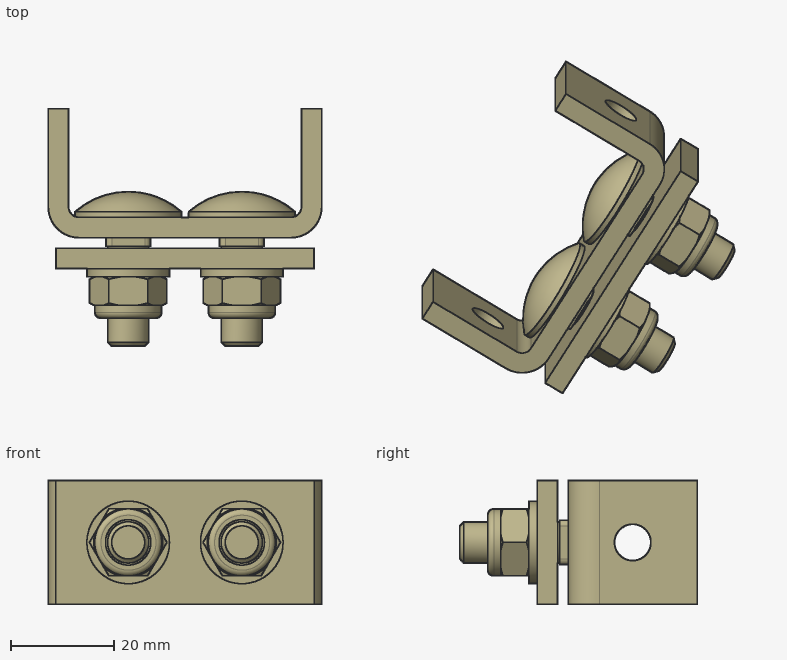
import cadquery as cq
import math

bracket_width = 53.0
bracket_depth = 25.0
height = 24.0
sheet = 4.0
inner_bend = 2.0
outer_bend = inner_bend + sheet
leg_hole_diameter = 7.0
leg_hole_y = bracket_depth / 2

plate_width = 50.0
plate_gap = 2.0
plate_face_y = -(plate_gap + sheet)

bolt_spacing = 22.0
bolt_diameter = 8.0
bolt_end_y = -21.0
bolt_chamfer = 0.8
head_diameter = 20.65
head_rim = 1.05
head_height = 5.0
neck_width = 8.65
neck_corner = 1.1
neck_length = 1.65

washer_diameter = 16.0
washer_thickness = 1.6
nut_flats = 13.0
nut_height = 8.0
hex_height = 5.5
hex_crown_diameter = 13.35
crown_angle = 30.0
collar_round = 1.15
nut_recess_diameter = 8.8
nut_recess_depth = 0.8


def cylinder(diameter, start_y, length):
    """Cylinder on the Y axis running from start_y towards -Y."""
    return cq.Workplane("XZ", origin=(0, start_y, 0)).circle(diameter / 2).extrude(length)


def make_bracket():
    outside = (
        cq.Workplane("XY")
        .box(bracket_width, bracket_depth, height, centered=(True, False, True))
        .edges("|Z and <Y")
        .fillet(outer_bend)
    )
    inside = (
        cq.Workplane("XY", origin=(0, sheet, 0))
        .box(bracket_width - 2 * sheet, bracket_depth, height, centered=(True, False, True))
        .edges("|Z and <Y")
        .fillet(inner_bend)
    )
    leg_holes = (
        cq.Workplane("YZ", origin=(-bracket_width / 2, leg_hole_y, 0))
        .circle(leg_hole_diameter / 2)
        .extrude(bracket_width)
    )
    return outside.cut(inside).cut(leg_holes)


def make_plate():
    return cq.Workplane("XY", origin=(0, plate_face_y, 0)).box(
        plate_width, sheet, height, centered=(True, False, True)
    )


def make_bolt():
    head_radius = head_diameter / 2
    dome_rise = head_height - head_rim
    dome_radius = (head_radius**2 + dome_rise**2) / (2 * dome_rise)
    crown_y = sheet + head_height
    half_angle = math.asin(head_radius / dome_radius) / 2
    dome_middle = (
        dome_radius * math.sin(half_angle),
        crown_y - dome_radius * (1 - math.cos(half_angle)),
    )
    head = (
        cq.Workplane("XY")
        .moveTo(0, sheet)
        .lineTo(head_radius, sheet)
        .lineTo(head_radius, sheet + head_rim)
        .threePointArc(dome_middle, (0, crown_y))
        .close()
        .revolve(360, (0, 0, 0), (0, 1, 0))
    )
    neck = (
        cq.Workplane("XZ", origin=(0, sheet, 0))
        .rect(neck_width, neck_width)
        .extrude(sheet + neck_length)
        .edges("|Y")
        .fillet(neck_corner)
    )
    shank = cylinder(bolt_diameter, sheet, sheet - bolt_end_y).faces("<Y").chamfer(bolt_chamfer)
    return head.union(neck).union(shank)


def make_nut(seat_y):
    corner_radius = nut_flats / math.sqrt(3)
    crown_radius = hex_crown_diameter / 2
    crown_drop = (corner_radius - crown_radius) * math.tan(math.radians(crown_angle))
    hexagon = (
        cq.Workplane("XZ", origin=(0, seat_y, 0))
        .polygon(6, 2 * corner_radius)
        .extrude(hex_height)
    )
    envelope = cylinder(2 * corner_radius, seat_y, hex_height)
    envelope = envelope.faces("<Y or >Y").chamfer(crown_drop, corner_radius - crown_radius)
    collar = cylinder(nut_flats, seat_y, nut_height).faces("<Y").edges().fillet(collar_round)
    recess = cylinder(nut_recess_diameter, seat_y - nut_height + nut_recess_depth, nut_recess_depth)
    return hexagon.intersect(envelope).union(collar).cut(recess)


def make_fastener():
    washer = cylinder(washer_diameter, plate_face_y, washer_thickness)
    nut = make_nut(plate_face_y - washer_thickness)
    return washer.union(nut).union(make_bolt())


result = make_bracket().union(make_plate())
fastener = make_fastener()
for side in (-1, 1):
    result = result.union(fastener.translate((side * bolt_spacing / 2, 0, 0)))